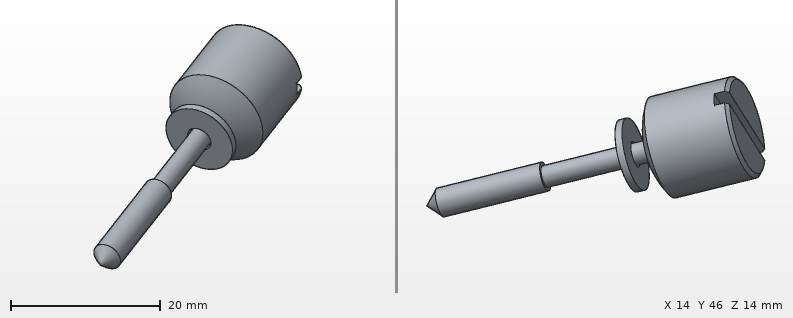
import cadquery as cq

total_length = 46.0

head_diameter = 14.0
head_length = 12.0
dome_length = 2.02
rim_chamfer = 0.5
slot_width = 2.0
slot_depth = 2.0

neck_diameter = 3.0
shaft_diameter = 4.0
shaft_length = 15.0
tip_length = shaft_diameter / 2

washer_diameter = 10.0
washer_bore = 3.5
washer_thickness = 1.0
washer_gap = 2.0

shaft_start = tip_length + shaft_length
head_face = total_length - head_length
dome_end = head_face - dome_length

head_radius = head_diameter / 2
neck_radius = neck_diameter / 2
dome_center = (
    (head_face**2 + head_radius**2 - dome_end**2 - neck_radius**2) / (2 * dome_length)
)
dome_radius = ((dome_center - dome_end) ** 2 + neck_radius**2) ** 0.5
dome_mid_radius = (head_radius + neck_radius) / 2
dome_mid_y = dome_center - (dome_radius**2 - dome_mid_radius**2) ** 0.5


def make_screw():
    """Turned screw with a domed head, a slim neck and a pointed shaft."""
    shaft_radius = shaft_diameter / 2
    body = (
        cq.Workplane("XY")
        .moveTo(0, 0)
        .lineTo(shaft_radius, tip_length)
        .lineTo(shaft_radius, shaft_start)
        .lineTo(neck_radius, shaft_start)
        .lineTo(neck_radius, dome_end)
        .threePointArc((dome_mid_radius, dome_mid_y), (head_radius, head_face))
        .lineTo(head_radius, total_length - rim_chamfer)
        .lineTo(head_radius - rim_chamfer, total_length)
        .lineTo(0, total_length)
        .close()
        .revolve(360, (0, 0, 0), (0, 1, 0))
    )
    slot = (
        cq.Workplane("XY")
        .box(head_diameter, slot_depth, slot_width)
        .translate((0, total_length - slot_depth / 2, 0))
    )
    return body.cut(slot)


def make_washer():
    """Flat washer loose around the neck, just clear of the dome."""
    return (
        cq.Workplane("XZ", origin=(0, dome_end - washer_gap, 0))
        .circle(washer_diameter / 2)
        .circle(washer_bore / 2)
        .extrude(washer_thickness)
    )


screw = make_screw()
washer = make_washer()

result = cq.Compound.makeCompound([screw.val(), washer.val()])